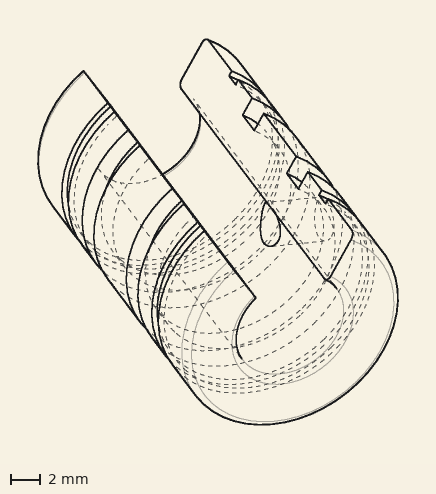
import cadquery as cq
import math

length = 25.0
outer_radius = 8.0
bore_radius = 4.0
edge_radius = 0.5

middle_x = length / 2
narrow_groove_width = 1.1
narrow_groove_depth = 0.4
narrow_groove_offset = 7.55
wide_groove_width = 1.95
wide_groove_depth = 1.4
wide_groove_offset = 3.7

slot_half_angle = math.radians(30)
slot_wall_offset = 0.7

cross_hole_diameter = 3.0
cross_hole_tilt = 10.0


def tube(start_x, width, outside, inside):
    """Hollow cylinder along X."""
    return (
        cq.Workplane("YZ", origin=(start_x, 0, 0))
        .circle(outside)
        .circle(inside)
        .extrude(width)
    )


def groove(center_x, width, depth):
    """Ring of material removed from the outside of the sleeve."""
    return tube(center_x - width / 2, width, outer_radius * 2, outer_radius - depth)


def slot():
    """V-shaped wedge whose walls pass beside the sleeve axis."""
    apex_z = -slot_wall_offset / math.sin(slot_half_angle)
    top_z = outer_radius * 2
    top_half_width = (top_z - apex_z) * math.tan(slot_half_angle)
    return (
        cq.Workplane("YZ")
        .moveTo(0, apex_z)
        .lineTo(top_half_width, top_z)
        .lineTo(-top_half_width, top_z)
        .close()
        .extrude(length)
    )


def cross_hole():
    """Radial hole from the bore out through the +Y wall, tilted downwards."""
    return (
        cq.Workplane("XZ", origin=(middle_x, 0, 0))
        .circle(cross_hole_diameter / 2)
        .extrude(-outer_radius * 2)
        .rotate((0, 0, 0), (1, 0, 0), -cross_hole_tilt)
    )


result = tube(0, length, outer_radius, bore_radius)
result = result.faces("<X or >X").edges().fillet(edge_radius)

for side in (-1, 1):
    result = result.cut(
        groove(middle_x + side * narrow_groove_offset, narrow_groove_width, narrow_groove_depth)
    )
    result = result.cut(
        groove(middle_x + side * wide_groove_offset, wide_groove_width, wide_groove_depth)
    )

result = result.cut(slot()).cut(cross_hole())